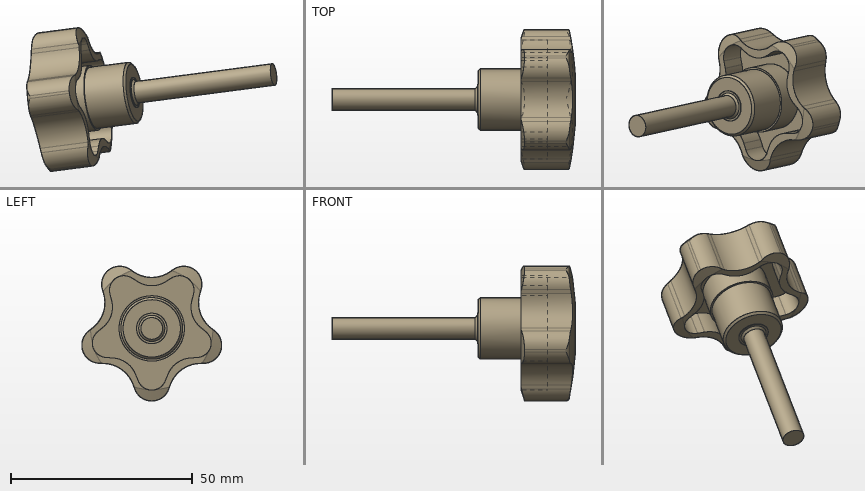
import math

import cadquery as cq


stud_diameter = 6.0
stud_length = 40.0
stud_collar = 0.6
bushing_diameter = 8.4
bushing_protrusion = 0.2

hub_diameter = 17.0
hub_chamfer = 0.6
hub_root_diameter = 18.02

lobe_count = 5
lobe_phase = -90.0
head_front = 12.0
head_back = 27.0
tip_radius = 20.0
front_cone_radius = 16.85
front_cone_length = 1.0
dome_radius = 97.0
back_flat_radius = 7.0
back_edge_fillet = 1.0

outer_star = {"lobe_distance": 15.0, "lobe_radius": 5.01, "valley_distance": 14.05, "valley_radius": 8.85}
inner_star = {"lobe_distance": 13.0, "lobe_radius": 4.0, "valley_distance": 11.75, "valley_radius": 7.2}
pocket_floor = 19.3


def polar(distance, angle):
    """Point at a distance from the origin, with the angle in radians."""
    return (distance * math.cos(angle), distance * math.sin(angle))


def offset(point, distance, angle):
    """Point moved by a distance along an angle in radians."""
    step = polar(distance, angle)
    return (point[0] + step[0], point[1] + step[1])


def star_prism(x_start, x_end, lobe_distance, lobe_radius, valley_distance, valley_radius):
    """Prism of a star whose lobe and valley arcs are joined by tangent lines."""
    half_pitch = math.pi / lobe_count
    valley_centre_distance = valley_distance + valley_radius

    valley_centre = polar(valley_centre_distance, half_pitch)
    gap_x = valley_centre[0] - lobe_distance
    gap_y = valley_centre[1]
    centre_angle = math.atan2(gap_y, gap_x)
    normal = centre_angle - math.acos((lobe_radius + valley_radius) / math.hypot(gap_x, gap_y))

    def lobe_point(lobe_angle, side):
        centre = polar(lobe_distance, lobe_angle)
        return offset(centre, lobe_radius, lobe_angle + side * normal)

    def valley_point(lobe_angle, side):
        centre = polar(valley_centre_distance, lobe_angle + side * half_pitch)
        return offset(centre, valley_radius, lobe_angle + side * normal + math.pi)

    phase = math.radians(lobe_phase)
    outline = cq.Workplane("YZ", origin=(x_start, 0, 0)).moveTo(*lobe_point(phase, -1))
    for index in range(lobe_count):
        angle = phase + 2 * half_pitch * index
        next_angle = angle + 2 * half_pitch
        outline = (
            outline.threePointArc(polar(lobe_distance + lobe_radius, angle), lobe_point(angle, 1))
            .lineTo(*valley_point(angle, 1))
            .threePointArc(polar(valley_distance, angle + half_pitch), valley_point(next_angle, -1))
            .lineTo(*lobe_point(next_angle, -1))
        )
    return outline.close().extrude(x_end - x_start)


def revolve_about_x(profile):
    """Solid of revolution of a profile drawn in the upper half of the XY plane."""
    return profile.close().revolve(360, (0, 0, 0), (1, 0, 0))


def head_envelope():
    """Turned shape that trims the lobes: front cone, rim, rounded edge and dome."""
    flat_angle = math.asin(back_flat_radius / dome_radius)
    dome_centre = (head_back - dome_radius * math.cos(flat_angle), 0)
    edge_centre_radius = tip_radius - back_edge_fillet
    edge_angle = math.asin(edge_centre_radius / (dome_radius - back_edge_fillet))
    edge_centre = offset(dome_centre, dome_radius - back_edge_fillet, edge_angle)
    edge_middle_angle = (edge_angle + math.pi / 2) / 2
    return revolve_about_x(
        cq.Workplane("XY")
        .moveTo(head_front, 0)
        .lineTo(head_front, front_cone_radius)
        .lineTo(head_front + front_cone_length, tip_radius)
        .lineTo(edge_centre[0], tip_radius)
        .threePointArc(
            offset(edge_centre, back_edge_fillet, edge_middle_angle),
            offset(dome_centre, dome_radius, edge_angle),
        )
        .threePointArc(
            offset(dome_centre, dome_radius, (edge_angle + flat_angle) / 2),
            (head_back, back_flat_radius),
        )
        .lineTo(head_back, 0)
    )


def hollow_head():
    """Star-shaped head, trimmed to the envelope and hollowed from the stud side."""
    body = star_prism(head_front, head_back, **outer_star).intersect(head_envelope())
    return body.cut(star_prism(head_front, pocket_floor, **inner_star))


def hub_with_stud():
    """Turned core: stud, bushing, hub and the thicker hub root in the pocket."""
    stud_radius = stud_diameter / 2
    bushing_radius = bushing_diameter / 2
    hub_radius = hub_diameter / 2
    hub_root_radius = hub_root_diameter / 2
    collar_radius = stud_radius + stud_collar
    hub_front = bushing_protrusion
    return revolve_about_x(
        cq.Workplane("XY")
        .moveTo(-stud_length, 0)
        .lineTo(-stud_length, stud_radius)
        .lineTo(-stud_collar, stud_radius)
        .lineTo(0, collar_radius)
        .lineTo(0, bushing_radius)
        .lineTo(hub_front, bushing_radius)
        .lineTo(hub_front, hub_radius - hub_chamfer)
        .lineTo(hub_front + hub_chamfer, hub_radius)
        .lineTo(head_front, hub_radius)
        .lineTo(head_front, hub_root_radius)
        .lineTo(pocket_floor, hub_root_radius)
        .lineTo(pocket_floor, 0)
    )


result = hollow_head().union(hub_with_stud())